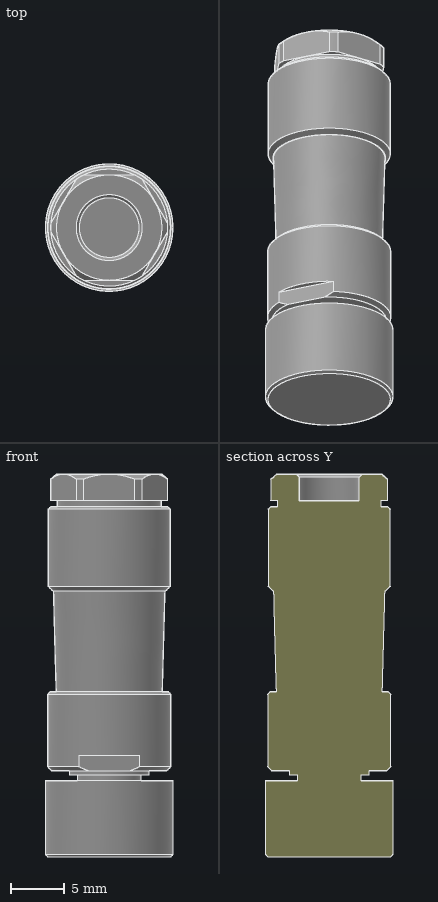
import cadquery as cq
import math

CAP_DIAMETER = 12.0
NECK_DIAMETER = 6.0
FLANGE_DIAMETER = 7.5
LOWER_BODY_DIAMETER = 11.6
WAIST_BOTTOM_DIAMETER = 10.0
WAIST_TOP_DIAMETER = 10.5
UPPER_BODY_DIAMETER = 11.5
COLLAR_DIAMETER = 9.8

CAP_TOP = 7.2
NECK_TOP = 7.7
FLANGE_TOP = 8.1
LOWER_BODY_TOP = 15.55
WAIST_TOP = 25.0
UPPER_BODY_TOP = 32.95
COLLAR_TOP = 33.5
TOTAL_HEIGHT = 36.0

EDGE_CHAMFER = 0.25
LOWER_BODY_BOTTOM_CHAMFER = 0.4
UPPER_BODY_BOTTOM_CHAMFER = 0.45

FLAT_SPACING = 10.1
FLAT_HEIGHT = 1.45

HEX_SIDES = 6
HEX_ACROSS_FLATS = 9.9
HEX_CORNER_DIAMETER = 11.0
HEX_CHAMFER_WIDTH = 0.55
HEX_CHAMFER_HEIGHT = 0.47

BORE_DIAMETER = 5.6
BORE_DEPTH = 2.5
BORE_CHAMFER = 0.3


def cylinder(diameter, bottom, top):
    """Upright cylinder on the Z axis between two heights."""
    return cq.Workplane("XY").workplane(offset=bottom).circle(diameter / 2).extrude(top - bottom)


def cone(bottom_diameter, top_diameter, bottom, top):
    """Upright truncated cone on the Z axis between two heights."""
    return (
        cq.Workplane("XY")
        .workplane(offset=bottom)
        .circle(bottom_diameter / 2)
        .workplane(offset=top - bottom)
        .circle(top_diameter / 2)
        .loft(ruled=True)
    )


def make_cap():
    """Base cylinder with its bottom edge broken."""
    return cylinder(CAP_DIAMETER, 0, CAP_TOP).faces("<Z").chamfer(EDGE_CHAMFER)


def make_lower_body():
    """Sleeve chamfered at both ends, with two opposite wrench flats."""
    body = cylinder(LOWER_BODY_DIAMETER, FLANGE_TOP, LOWER_BODY_TOP)
    body = body.faces(">Z").chamfer(EDGE_CHAMFER)
    body = body.faces("<Z").chamfer(LOWER_BODY_BOTTOM_CHAMFER)
    cut_depth = (LOWER_BODY_DIAMETER - FLAT_SPACING) / 2
    for side in (-1, 1):
        cutter = cq.Workplane("XY").box(LOWER_BODY_DIAMETER, cut_depth, FLAT_HEIGHT)
        centre_y = side * (FLAT_SPACING + cut_depth) / 2
        centre_z = FLANGE_TOP + FLAT_HEIGHT / 2
        body = body.cut(cutter.translate((0, centre_y, centre_z)))
    return body


def make_waist():
    """Slightly conical grip, wider at the top."""
    return cone(WAIST_BOTTOM_DIAMETER, WAIST_TOP_DIAMETER, LOWER_BODY_TOP, WAIST_TOP)


def make_upper_body():
    """Sleeve chamfered at both ends."""
    body = cylinder(UPPER_BODY_DIAMETER, WAIST_TOP, UPPER_BODY_TOP)
    body = body.faces(">Z").chamfer(EDGE_CHAMFER)
    return body.faces("<Z").chamfer(UPPER_BODY_BOTTOM_CHAMFER)


def make_hex_head():
    """Hexagon whose corners are rounded off and chamfered at the top."""
    across_corners = HEX_ACROSS_FLATS / math.cos(math.pi / HEX_SIDES)
    hexagon = (
        cq.Workplane("XY")
        .workplane(offset=COLLAR_TOP)
        .polygon(HEX_SIDES, across_corners)
        .extrude(TOTAL_HEIGHT - COLLAR_TOP)
    )
    envelope = cylinder(HEX_CORNER_DIAMETER, COLLAR_TOP, TOTAL_HEIGHT)
    envelope = envelope.faces(">Z").chamfer(HEX_CHAMFER_HEIGHT, HEX_CHAMFER_WIDTH)
    return hexagon.intersect(envelope)


def make_bore():
    """Cutter for the blind bore, with a countersunk mouth."""
    mouth_diameter = BORE_DIAMETER + 2 * BORE_CHAMFER
    mouth = cone(BORE_DIAMETER, mouth_diameter, TOTAL_HEIGHT - BORE_CHAMFER, TOTAL_HEIGHT)
    return cylinder(BORE_DIAMETER, TOTAL_HEIGHT - BORE_DEPTH, TOTAL_HEIGHT).union(mouth)


result = (
    make_cap()
    .union(cylinder(NECK_DIAMETER, CAP_TOP, NECK_TOP))
    .union(cylinder(FLANGE_DIAMETER, NECK_TOP, FLANGE_TOP))
    .union(make_lower_body())
    .union(make_waist())
    .union(make_upper_body())
    .union(cylinder(COLLAR_DIAMETER, UPPER_BODY_TOP, COLLAR_TOP))
    .union(make_hex_head())
    .cut(make_bore())
)